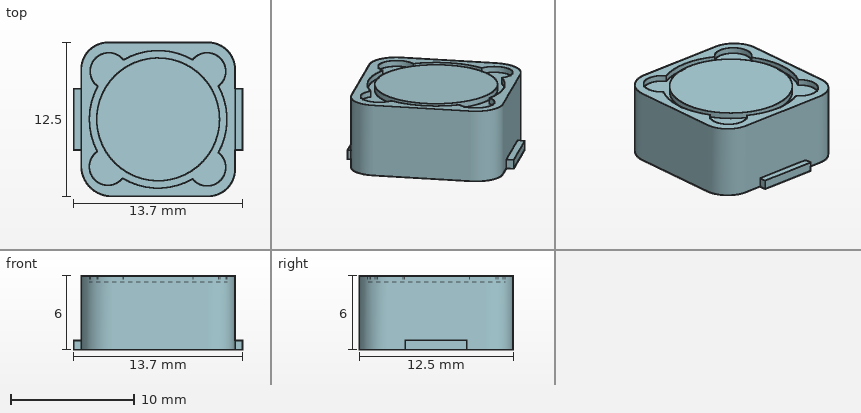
import cadquery as cq

overall_length = 13.71
housing_side = 12.5
housing_height = 6.0
corner_radius = 2.22
front_left_corner_radius = 2.5

core_diameter = 9.97
ring_diameter = 11.16
recess_depth = 0.5
lobe_radius = 1.51
lobe_centres = [(3.98, 3.9), (-4.0, 3.9), (-4.07, -3.84), (3.98, -3.9)]

terminal_width = 5.0
terminal_height = 0.77
terminal_length = (overall_length - housing_side) / 2


def make_recess():
    """Annular recess with a round lobe towards each corner."""
    floor = cq.Workplane("XY").workplane(offset=housing_height - recess_depth)
    recess = floor.circle(ring_diameter / 2).extrude(recess_depth)
    for centre in lobe_centres:
        lobe = floor.center(*centre).circle(lobe_radius).extrude(recess_depth)
        recess = recess.union(lobe)
    core = floor.circle(core_diameter / 2).extrude(recess_depth)
    return recess.cut(core)


def make_housing():
    """Square block with rounded vertical edges and the recessed top."""
    block = cq.Workplane("XY").box(
        housing_side, housing_side, housing_height, centered=(True, True, False)
    )
    block = block.edges("|Z and (>X or >Y)").fillet(corner_radius)
    block = block.edges(
        cq.selectors.NearestToPointSelector((-housing_side / 2, -housing_side / 2, housing_height / 2))
    ).fillet(front_left_corner_radius)
    return block.cut(make_recess())


def make_terminal(side):
    """Flat terminal against the -X (side = -1) or +X (side = 1) wall."""
    centre_x = side * (housing_side + terminal_length) / 2
    return (
        cq.Workplane("XY")
        .center(centre_x, 0)
        .rect(terminal_length, terminal_width)
        .extrude(terminal_height)
    )


housing = make_housing()
terminals = [make_terminal(side) for side in (-1, 1)]

result = cq.Compound.makeCompound([housing.val(), *[terminal.val() for terminal in terminals]])